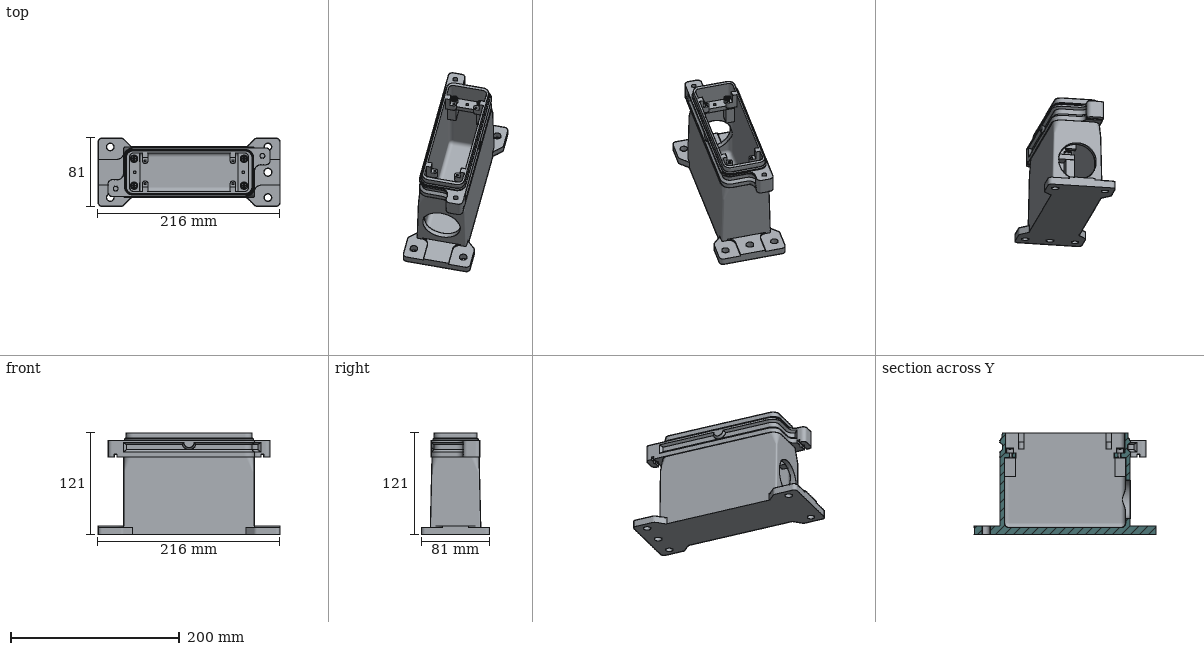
import cadquery as cq
import math

total_height = 121.0
foot_height = 8.6
foot_pad_height = 10.5
collar_bottom = 92.0
collar_top = 111.9

body_half_x = 77.5
body_half_y_bottom = 30.2
body_half_y_top = 28.0
body_corner_radius = 2.0
body_top_corner_radius = 9.7
shoulder_height = 74.5

foot_half_x = 216.0 / 2
foot_half_y = 81.0 / 2
foot_shoulder_x = 78.8
foot_corner_radius = 4.8
foot_root_radius = 2.2
foot_root_length = 1.3
foot_hole_x = 93.5
foot_hole_y = 30.0
foot_hole_diameter = 8.6
center_hole_diameter = 9.0
pad_half_y = 15.3
pad_flare = 8.0

collar_half_x = 77.8
collar_half_y = 29.0
collar_corner_radius = 11.9
ear_end_x = 96.1
ear_side_y = 8.9
ear_corner_radius = 5.0
ear_root_radius = 7.5
ear_hole_x = 87.0
ear_hole_y = 19.5
ear_hole_diameter = 5.6
ear_slot_width = 3.0
ear_slot_height = 3.2

groove_bottom = 97.8
groove_top = 109.3
groove_depth = 3.2
groove_end_run = 4.5
groove_bottom_slope = 3.0
groove_top_slope = 2.4
keeper_margin = 2.2
stop_face_radius = 6.0
stop_root_radius = 8.5

rim_half_x = 75.0
rim_half_y = 25.7
rim_corner_radius = 8.5
rim_bevel_height = 2.2
rim_bevel_width = 0.5
flange_half_x = 76.7
flange_half_y = 27.0
flange_top = 114.7
flange_bevel = 1.3

cavity_half_x = 70.6
cavity_half_y = 23.0
cavity_radius = 5.2
cavity_floor = foot_height
chamber_half_x = 71.7
ledge_top = 97.2
ledge_bottom = 91.2
ledge_edge_x = 58.3
ledge_hole_x = 64.4
ledge_hole_diameter = 3.0
column_bottom = 69.1
column_edge_x = 59.0
column_edge_y = 12.5
screw_x = 65.2
screw_y = 16.0
screw_head_radius = 4.3
screw_recess_radius = 3.0
screw_slot_width = 1.0
screw_dish_depth = 0.6
screw_head_top = 102.5
screw_recess_depth = 1.7
bracket_x = 52.0
bracket_width = 6.5
bracket_bottom = 101.5
bracket_pad_top = 110.2
bracket_back_y = 17.7
bracket_hole_y = 13.5
bracket_hole_diameter = 2.4
wall_overlap = 2.2

entry_diameter = 45.4
entry_height = 42.0


def block(x0, x1, y0, y1, z0, z1):
    return cq.Workplane("XY").box(x1 - x0, y1 - y0, z1 - z0, centered=False).translate((x0, y0, z0))


def cylinder(x, y, radius, z0, z1):
    return cq.Workplane("XY", origin=(x, y, z0)).circle(radius).extrude(z1 - z0)


def rounded_block(half_x, half_y, radius, z0, z1):
    return block(-half_x, half_x, -half_y, half_y, z0, z1).edges("|Z").fillet(radius)


def vertical_fillet(solid, x, y, radius):
    nearest = cq.selectors.NearestToPointSelector((x, y, solid.val().Center().z))
    return solid.edges("|Z").edges(nearest).fillet(radius)


def half_turn(shape):
    return shape.rotate((0, 0, 0), (0, 0, 1), 180)


def body_half_y(z):
    return body_half_y_bottom + (body_half_y_top - body_half_y_bottom) * z / collar_bottom


def body_section(z, radius):
    sketch = cq.Sketch().rect(2 * body_half_x, 2 * body_half_y(z)).vertices().fillet(radius)
    return sketch.moved(cq.Location(cq.Vector(0, 0, z)))


def make_body():
    foot = body_section(0, body_corner_radius)
    shoulder = body_section(shoulder_height, body_corner_radius)
    top = body_section(collar_bottom, body_top_corner_radius)
    lower = cq.Workplane("XY").placeSketch(foot, shoulder).loft(ruled=True)
    upper = cq.Workplane("XY").placeSketch(shoulder, top).loft(ruled=True)
    return lower.union(upper)


def make_left_foot():
    corner_x = foot_shoulder_x - (foot_half_y - body_half_y_bottom)
    root_x = corner_x - foot_root_length
    outline = [
        (-foot_half_x, -foot_half_y),
        (-foot_shoulder_x, -foot_half_y),
        (-corner_x, -body_half_y_bottom),
        (-root_x, -body_half_y_bottom),
        (-root_x, body_half_y_bottom),
        (-corner_x, body_half_y_bottom),
        (-foot_shoulder_x, foot_half_y),
        (-foot_half_x, foot_half_y),
    ]
    plate = cq.Workplane("XY").polyline(outline).close().extrude(foot_height)
    plate = plate.edges("|Z and (<X or >Y or <Y)").fillet(foot_corner_radius)
    for y in (-body_half_y_bottom, body_half_y_bottom):
        plate = vertical_fillet(plate, -corner_x, y, foot_root_radius)

    flare_x = body_half_x + pad_flare
    flare_y = pad_half_y + pad_flare
    bulge = pad_flare * math.sqrt(0.5)
    pad = (
        cq.Workplane("XY")
        .moveTo(-foot_half_x, -pad_half_y)
        .lineTo(-flare_x, -pad_half_y)
        .threePointArc((-flare_x + bulge, -flare_y + bulge), (-body_half_x, -flare_y))
        .lineTo(-body_half_x + wall_overlap, -flare_y)
        .lineTo(-body_half_x + wall_overlap, flare_y)
        .lineTo(-body_half_x, flare_y)
        .threePointArc((-flare_x + bulge, flare_y - bulge), (-flare_x, pad_half_y))
        .lineTo(-foot_half_x, pad_half_y)
        .close()
        .extrude(foot_pad_height)
    )
    holes = (
        cq.Workplane("XY")
        .pushPoints([(-foot_hole_x, -foot_hole_y), (-foot_hole_x, foot_hole_y)])
        .circle(foot_hole_diameter / 2)
        .extrude(foot_height)
    )
    return plate.union(pad).cut(holes)


def collar_wire():
    """Closed outline of the collar with an ear at -X -Y and one at +X +Y."""
    outline = [
        (-ear_end_x, -collar_half_y),
        (collar_half_x, -collar_half_y),
        (collar_half_x, ear_side_y),
        (ear_end_x, ear_side_y),
        (ear_end_x, collar_half_y),
        (-collar_half_x, collar_half_y),
        (-collar_half_x, -ear_side_y),
        (-ear_end_x, -ear_side_y),
    ]
    radii = [ear_corner_radius, collar_corner_radius, ear_root_radius, ear_corner_radius] * 2
    solid = cq.Workplane("XY").polyline(outline).close().extrude(2.2)
    for (x, y), radius in zip(outline, radii):
        solid = vertical_fillet(solid, x, y, radius)
    return solid.faces("<Z").wires().val()


def extrude_wire(wire, z0, z1):
    return cq.Workplane("XY").add(wire).toPending().extrude(z1 - z0).translate((0, 0, z0))


def make_groove(outline):
    """Trapezoidal groove along the collar side, stopping at each ear with a sloped end."""
    core_outline = outline.offset2D(-groove_depth)[0]
    z1 = groove_bottom + groove_bottom_slope
    z2 = groove_top - groove_top_slope

    def slope(z_outer, z_inner):
        outer = outline.moved(cq.Location(cq.Vector(0, 0, z_outer)))
        inner = core_outline.moved(cq.Location(cq.Vector(0, 0, z_inner)))
        return cq.Workplane("XY").add(cq.Solid.makeLoft([outer, inner], True))

    core = extrude_wire(core_outline, z1, z2).union(slope(groove_bottom, z1)).union(slope(groove_top, z2))
    ring = extrude_wire(outline, groove_bottom, groove_top).cut(core)

    reach = ear_end_x + keeper_margin
    ear_root_x = collar_half_x + ear_root_radius
    ear_keeper = (
        cq.Workplane("XY", origin=(0, 0, groove_bottom))
        .polyline([
            (-reach, -ear_side_y + keeper_margin),
            (-ear_root_x, -ear_side_y + keeper_margin),
            (-ear_root_x, -ear_side_y),
            (-ear_root_x + groove_end_run, -ear_side_y - groove_depth),
            (-collar_half_x + groove_depth, -collar_half_y + groove_depth),
            (-collar_half_x, -collar_half_y),
            (-collar_half_x, -collar_half_y - keeper_margin),
            (-reach, -collar_half_y - keeper_margin),
        ])
        .close()
        .extrude(groove_top - groove_bottom)
    )
    stop = (
        cq.Workplane("XZ", origin=(0, -collar_half_y, groove_top))
        .circle(stop_face_radius)
        .workplane(offset=-groove_depth)
        .circle(stop_root_radius)
        .loft()
    )
    for keeper in (ear_keeper, stop):
        ring = ring.cut(keeper).cut(half_turn(keeper))
    return ring


def make_collar():
    outline = collar_wire()
    collar = extrude_wire(outline, collar_bottom, collar_top).cut(make_groove(outline))
    hole = cylinder(-ear_hole_x, -ear_hole_y, ear_hole_diameter / 2, collar_bottom, collar_top)
    slot = block(
        -ear_hole_x - ear_slot_width / 2,
        -ear_hole_x + ear_slot_width / 2,
        -collar_half_y,
        -ear_side_y,
        collar_bottom,
        collar_bottom + ear_slot_height,
    )
    for cutter in (hole, slot):
        collar = collar.cut(cutter).cut(half_turn(cutter))
    return collar


def make_rim():
    rim = rounded_block(rim_half_x, rim_half_y, rim_corner_radius, collar_top, total_height)
    rim = rim.faces(">Z").edges().chamfer(rim_bevel_height, rim_bevel_width)
    flange_radius = rim_corner_radius + flange_half_x - rim_half_x
    flange = rounded_block(flange_half_x, flange_half_y, flange_radius, collar_top, flange_top)
    return rim.union(flange.faces(">Z").edges().chamfer(flange_bevel))


def make_cavity():
    chamber = rounded_block(chamber_half_x, cavity_half_y, cavity_radius, cavity_floor, ledge_bottom)
    chamber = chamber.faces("<Z").edges().fillet(cavity_radius)
    opening = rounded_block(cavity_half_x, cavity_half_y, cavity_radius, ledge_bottom, total_height)
    return chamber.union(opening)


def make_screw_head(x, y):
    head = cylinder(x, y, screw_head_radius, ledge_top, screw_head_top)
    recess_floor = screw_head_top - screw_recess_depth
    slot_half = screw_slot_width / 2
    recess = block(
        x - screw_recess_radius,
        x + screw_recess_radius,
        y - slot_half,
        y + slot_half,
        recess_floor,
        screw_head_top,
    )
    head = head.cut(cylinder(x, y, screw_recess_radius, screw_head_top - screw_dish_depth, screw_head_top))
    return head.cut(recess).cut(recess.rotate((x, y, 0), (x, y, 1), 90))


def make_right_ledge():
    """Shelf at the +X end, carried by two corner columns and holding two screws."""
    wall_x = cavity_half_x + wall_overlap
    wall_y = cavity_half_y + wall_overlap
    ledge = block(ledge_edge_x, wall_x, -wall_y, wall_y, ledge_bottom, ledge_top)
    ledge = ledge.cut(cylinder(ledge_hole_x, 0, ledge_hole_diameter / 2, ledge_bottom, ledge_top))
    column = block(column_edge_x, wall_x, column_edge_y, wall_y, column_bottom, ledge_bottom)
    ledge = ledge.union(column).union(column.mirror("XZ"))
    for y in (-screw_y, screw_y):
        ledge = ledge.union(make_screw_head(screw_x, y))
    return ledge


def make_bracket():
    """Wall block with a round-nosed, drilled pad, on the +Y wall near the +X end."""
    wall_y = cavity_half_y + wall_overlap
    half_width = bracket_width / 2
    x0 = bracket_x - half_width
    x1 = bracket_x + half_width
    post = block(x0, x1, bracket_back_y, wall_y, bracket_bottom, total_height)
    pad = block(x0, x1, bracket_hole_y, wall_y, bracket_bottom, bracket_pad_top)
    nose = cylinder(bracket_x, bracket_hole_y, half_width, bracket_bottom, bracket_pad_top)
    hole = cylinder(bracket_x, bracket_hole_y, bracket_hole_diameter / 2, bracket_bottom, bracket_pad_top)
    return post.union(pad).union(nose).cut(hole)


left_foot = make_left_foot()
result = make_body().union(left_foot).union(half_turn(left_foot)).union(make_collar()).union(make_rim())

result = result.cut(make_cavity())
entry = cq.Workplane("YZ", origin=(-body_half_x, 0, entry_height)).circle(entry_diameter / 2)
result = result.cut(entry.extrude(body_half_x))
result = result.cut(cylinder(foot_hole_x, 0, center_hole_diameter / 2, 0, foot_pad_height))

right_ledge = make_right_ledge()
result = result.union(right_ledge).union(right_ledge.mirror("YZ"))
bracket = make_bracket()
for fitting in (bracket, bracket.mirror("XZ")):
    result = result.union(fitting).union(fitting.mirror("YZ"))